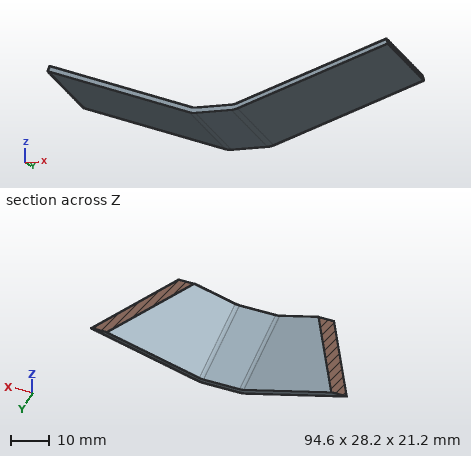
import cadquery as cq
import math

overall_length = 94.6
strip_width = 25.45
thickness = 1.5
centre_flat = 10.0
bend_angle = 20.0
inner_bend_radius = 3.4
roll_angle = -11.3

half_flat = centre_flat / 2
outer_bend_radius = inner_bend_radius + thickness
half_length = overall_length / 2


def bend_point(radius, angle):
    """Point on the right-hand bend, measured from the underside of the centre flat."""
    turn = math.radians(angle)
    return (
        half_flat + radius * math.sin(turn),
        outer_bend_radius - radius * math.cos(turn),
    )


slope = math.radians(bend_angle)
outer_bend_end = bend_point(outer_bend_radius, bend_angle)
inner_bend_end = bend_point(inner_bend_radius, bend_angle)
arm_length = (half_length - outer_bend_end[0]) / math.cos(slope)


def arm_end(bend_end):
    """Far end of an arm face that starts at the given bend point."""
    return (
        bend_end[0] + arm_length * math.cos(slope),
        bend_end[1] + arm_length * math.sin(slope),
    )


def mirrored(point):
    return (-point[0], point[1])


outer_bend_middle = bend_point(outer_bend_radius, bend_angle / 2)
inner_bend_middle = bend_point(inner_bend_radius, bend_angle / 2)
outer_bend_start = bend_point(outer_bend_radius, 0)
inner_bend_start = bend_point(inner_bend_radius, 0)

strip = (
    cq.Workplane("XZ")
    .moveTo(*mirrored(outer_bend_start))
    .lineTo(*outer_bend_start)
    .threePointArc(outer_bend_middle, outer_bend_end)
    .lineTo(*arm_end(outer_bend_end))
    .lineTo(*arm_end(inner_bend_end))
    .lineTo(*inner_bend_end)
    .threePointArc(inner_bend_middle, inner_bend_start)
    .lineTo(*mirrored(inner_bend_start))
    .threePointArc(mirrored(inner_bend_middle), mirrored(inner_bend_end))
    .lineTo(*mirrored(arm_end(inner_bend_end)))
    .lineTo(*mirrored(arm_end(outer_bend_end)))
    .lineTo(*mirrored(outer_bend_end))
    .threePointArc(mirrored(outer_bend_middle), mirrored(outer_bend_start))
    .close()
    .extrude(strip_width / 2, both=True)
)

result = strip.rotate((0, 0, 0), (1, 0, 0), roll_angle)